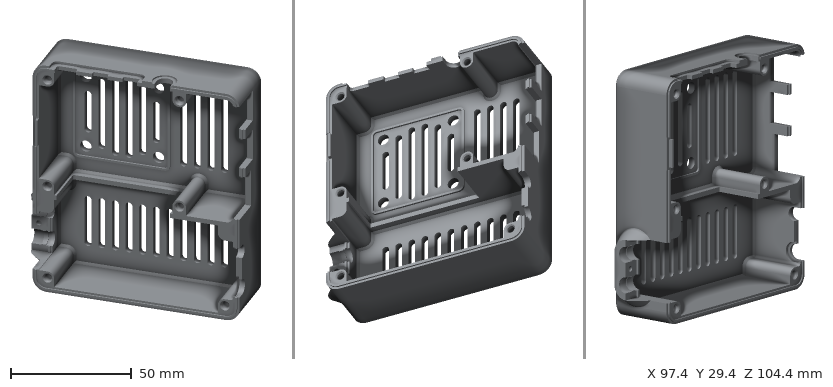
import cadquery as cq
import math


box_x = 91.0
box_z = 104.4
corner_r = 6.0
back_chamfer = 1.0
wall = 2.8
floor = 3.0
floor_chamfer = 1.0
tab_depth = 29.43
rim_depth = 27.7
ridge_height = 0.65
ridge_offset = 1.0
ridge_width = 0.9
clearance = 5.0

divider_z0 = 43.1
divider_z1 = 45.15
upper_corner_r = 3.0
gap_x0 = 10.5
gap_x1 = 60.4
gap_depth = floor + 4.0

post_r = 3.0
post_inset = 6.5
post_right_x = box_x - post_inset
post_top_z = box_z - post_inset
post_mid_x = 64.5
post_mid_z = 48.8
block_low_z = 39.6
post_wall_fillet = 1.2
pilot_d = 3.2
pilot_depth = 12.0
countersink_d = 4.3

slot_width = 3.0
slot_pitch = 6.0
slot_x0 = 15.6
slot_count = 11
lower_slot_z = 22.8
lower_slot_length = 23.0
fan_x = slot_x0 + 2.5 * slot_pitch
fan_z = 73.3
fan_hole_pitch = 32.0
fan_hole_d = 5.0
fan_rim_inner = 40.6
fan_rim_width = 1.0
fan_rim_height = 0.8
fan_rim_inner_r = 1.5
tall_slot = 36.6
medium_slot = 32.2
short_slot = 19.0
upper_slot_lengths = {
    0: short_slot,
    1: medium_slot,
    2: tall_slot,
    3: tall_slot,
    4: medium_slot,
    5: short_slot,
    7: tall_slot,
    8: tall_slot,
    9: tall_slot,
    10: tall_slot,
}

collar_reach = 6.4
collar_depth = 11.2
collar_base_r = 10.0
collar_tip_r = 6.15
collar_span = 13.5
cable_mid_z = 22.65
cable_pitch = 13.0
parting_depth = 11.0
cable_r = 3.4
grip_r = 3.1
grip_width = 2.0
clamp_x = -collar_reach / 2
clamp_hole_d = 2.3
clamp_head_d = 4.3
clamp_head_depth = 5.0

port_recess = 1.1
port_panel_x0 = 7.35
port_panel_x1 = 48.1
port_panel_depth = 22.2
port_panel_r = 2.5
port_x0 = 9.75
port_x1 = 46.0
port_depth = 24.6
first_port_depth = 24.2
first_port_bevel = 0.7
web_depth = 26.3
web_spans = ((18.6, 25.7), (32.4, 39.1))
jack_x = 57.0
jack_depth = 24.6
jack_r = 3.5
jack_recess_r = 5.2
jack_recess = 0.6
plain_rim_x1 = 61.1

usb_depth = 11.3
ethernet_depth = 13.4
connector_bevel = 0.45
prong_depth = 20.65
usb_spans = ((85.5, 99.3), (67.7, 81.2))
ethernet_span = (47.2, 63.6)
prong_spans = (
    (usb_spans[1][1], usb_spans[0][0]),
    (ethernet_span[1], usb_spans[1][0]),
)
socket_depth = 24.4
upper_socket_z = 31.0
upper_socket_r = 3.0
lower_socket_z = 14.7
lower_socket_r = 3.4
lower_socket_inner_r = 4.5
lower_socket_lip = 1.45

tab_z0 = 67.5
tab_z1 = 79.4
tab_relief_margin = 1.05
tab_relief_chamfer = 0.4
tab_x0 = ridge_offset + 0.7


def block(x0, x1, depth0, depth1, z0, z1):
    """Box given by its limits in X, depth and Z."""
    return cq.Workplane("XY").box(
        x1 - x0, depth1 - depth0, z1 - z0, centered=False
    ).translate((x0, -depth1, z0))


def facing(depth):
    """Sketch plane parallel to the back; extrusions run towards the rim."""
    return cq.Workplane("XZ", origin=(0, -depth, 0))


def rod_x(x0, x1, depth, z, radius):
    """Cylinder along X."""
    return cq.Workplane("YZ", origin=(x0, -depth, z)).circle(radius).extrude(x1 - x0)


def rod_y(x, z, depth0, depth1, diameter):
    """Cylinder along Y."""
    return facing(depth0).center(x, z).circle(diameter / 2).extrude(depth1 - depth0)


def rounded_slab(inset, depth0, depth1):
    """Slab with the box outline moved inwards by inset."""
    return (
        facing(depth0)
        .center(box_x / 2, box_z / 2)
        .rect(box_x - 2 * inset, box_z - 2 * inset)
        .extrude(depth1 - depth0)
        .edges("|Y")
        .fillet(corner_r - inset)
    )


def column(x, z, x_far, z_far):
    """Round column filled out to the side x_far and to the side z_far."""
    side_x = x + math.copysign(post_r, x - x_far)
    side_z = z + math.copysign(post_r, z - z_far)
    xs = sorted((x_far, side_x))
    zs = sorted((z_far, z))
    xs_in = sorted((x_far, x))
    zs_in = sorted((z_far, side_z))
    return (
        rod_y(x, z, 0, rim_depth, 2 * post_r)
        .union(block(*xs, 0, rim_depth, *zs))
        .union(block(*xs_in, 0, rim_depth, *zs_in))
    )


def wall_column(x, z, z_far):
    """Round column joined straight to the side z_far."""
    zs = sorted((z, z_far))
    return rod_y(x, z, 0, rim_depth, 2 * post_r).union(
        block(x - post_r, x + post_r, 0, rim_depth, *zs)
    )


def chamfer_floor(cavity):
    return cavity.faces(">Y").edges().chamfer(floor_chamfer)


def upper_cavity():
    cavity = block(wall, box_x - wall, floor, rim_depth, divider_z1, box_z - wall)
    cavity = cavity.edges("|Y and >X").fillet(upper_corner_r)
    cavity = cavity.cut(column(post_inset, post_top_z, 0, box_z))
    cavity = cavity.cut(column(post_inset, post_mid_z, 0, divider_z0))
    cavity = cavity.cut(wall_column(post_mid_x, post_top_z, box_z))
    cavity = cavity.cut(wall_column(post_mid_x, post_mid_z, divider_z0))
    return chamfer_floor(cavity)


def lower_cavity():
    cavity = block(wall, box_x - wall, floor, rim_depth, wall, divider_z0)
    for x, x_far in ((post_inset, 0), (post_right_x, box_x)):
        cavity = cavity.cut(column(x, block_low_z, x_far, divider_z1))
        cavity = cavity.cut(column(x, post_inset, x_far, 0))
    post_wall_corner = cq.selectors.NearestToPointSelector(
        (box_x - wall, -(floor + rim_depth) / 2, post_inset + post_r)
    )
    cavity = cavity.edges(post_wall_corner).fillet(post_wall_fillet)
    return chamfer_floor(cavity)


def shell():
    body = rounded_slab(0, 0, rim_depth).faces(">Y").edges().chamfer(back_chamfer)
    body = body.union(collar())
    body = body.cut(upper_cavity()).cut(lower_cavity())
    gap = block(gap_x0, gap_x1, gap_depth, rim_depth, divider_z0, divider_z1)
    return body.cut(gap).union(rim_ridge())


def rim_ridge():
    top = rim_depth + ridge_height
    outer = rounded_slab(ridge_offset, rim_depth, top)
    ridge = outer.cut(rounded_slab(ridge_offset + ridge_width, rim_depth, top))
    plain_top = block(port_x0, plain_rim_x1, rim_depth, top, box_z - wall, box_z)
    return ridge.cut(plain_top)


def collar():
    root = (
        cq.Workplane("YZ", origin=(0, -collar_depth, cable_mid_z))
        .slot2D(collar_span + 2 * collar_base_r, 2 * collar_base_r, 90)
    )
    flare = (
        root.workplane(offset=-collar_reach)
        .slot2D(collar_span + 2 * collar_tip_r, 2 * collar_tip_r, 90)
        .loft(ruled=True)
    )
    base = (
        cq.Workplane("YZ", origin=(0, -collar_depth, cable_mid_z))
        .slot2D(collar_span + 2 * collar_base_r, 2 * collar_base_r, 90)
        .extrude(wall)
    )
    return flare.union(base)


def cut_cable_entry(body):
    """Open the collar above its parting face and add the cable channels."""
    half_width = collar_span / 2 + collar_tip_r
    z0 = cable_mid_z - half_width
    z1 = cable_mid_z + half_width
    body = body.cut(block(-collar_reach, wall, parting_depth, tab_depth, z0, z1))
    ridge = block(
        ridge_offset, ridge_offset + ridge_width,
        parting_depth, parting_depth + ridge_height, z0, z1,
    )
    body = body.union(ridge)
    for z in (cable_mid_z - cable_pitch / 2, cable_mid_z + cable_pitch / 2):
        body = body.cut(rod_x(-collar_reach, -grip_width, parting_depth, z, cable_r))
        body = body.cut(rod_x(-grip_width, 0, parting_depth, z, grip_r))
        body = body.cut(rod_x(0, wall, parting_depth, z, cable_r))
    body = body.cut(rod_y(clamp_x, cable_mid_z, 0, parting_depth, clamp_hole_d))
    return body.cut(rod_y(clamp_x, cable_mid_z, 0, clamp_head_depth, clamp_head_d))


def cut_screw_holes(body):
    centres = (
        (post_inset, post_top_z),
        (post_mid_x, post_top_z),
        (post_inset, post_mid_z),
        (post_mid_x, post_mid_z),
        (post_inset, post_inset),
        (post_right_x, post_inset),
    )
    for x, z in centres:
        body = body.cut(rod_y(x, z, rim_depth - pilot_depth, rim_depth, pilot_d))
        countersink = (
            facing(rim_depth)
            .center(x, z)
            .circle(countersink_d / 2)
            .workplane(offset=-(countersink_d - pilot_d) / 2)
            .circle(pilot_d / 2)
            .loft()
        )
        body = body.cut(countersink)
    return body


def vent(index, z, length):
    x = slot_x0 + index * slot_pitch
    return facing(0).center(x, z).slot2D(length, slot_width, 90).extrude(floor)


def cut_vents(body):
    for index in range(slot_count):
        body = body.cut(vent(index, lower_slot_z, lower_slot_length))
    for index, length in upper_slot_lengths.items():
        body = body.cut(vent(index, fan_z, length))
    return body


def add_fan_mount(body):
    def square(size, radius):
        return (
            facing(floor)
            .center(fan_x, fan_z)
            .rect(size, size)
            .extrude(fan_rim_height)
            .edges("|Y")
            .fillet(radius)
        )

    outer = square(fan_rim_inner + 2 * fan_rim_width, fan_rim_inner_r + fan_rim_width)
    body = body.union(outer.cut(square(fan_rim_inner, fan_rim_inner_r)))
    holes = (
        facing(0)
        .center(fan_x, fan_z)
        .rect(fan_hole_pitch, fan_hole_pitch, forConstruction=True)
        .vertices()
        .circle(fan_hole_d / 2)
        .extrude(floor)
    )
    return body.cut(holes)


def cut_top_ports(body):
    z_in = box_z - wall
    z_recess = box_z - port_recess
    panel = block(
        port_panel_x0, port_panel_x1,
        port_panel_depth, tab_depth + clearance, z_recess, box_z,
    )
    panel = panel.edges("|Z and >Y").fillet(port_panel_r)
    first_x1 = web_spans[0][0]
    ports = block(first_x1, port_x1, port_depth, tab_depth, z_in, box_z)
    for x0, x1 in web_spans:
        ports = ports.cut(block(x0, x1, port_depth, web_depth, z_in, box_z))
    first_port = block(port_x0, first_x1, first_port_depth, tab_depth, z_in, box_z)
    first_port = first_port.edges("|Z and >Y").chamfer(first_port_bevel)
    ports = ports.union(first_port)

    def upright_rod(radius, z0):
        return (
            cq.Workplane("XY", origin=(jack_x, -jack_depth, z0))
            .circle(radius)
            .extrude(box_z - z0)
        )

    jack = upright_rod(jack_r, z_in).union(
        block(jack_x - jack_r, jack_x + jack_r, jack_depth, tab_depth, z_in, box_z)
    )
    jack_rim = upright_rod(jack_recess_r, box_z - jack_recess)
    return body.cut(panel).cut(ports).cut(jack).cut(jack_rim)


def connector_opening(depth, z0, z1):
    """Cutter through the right wall, open to the rim, with a bevelled inner sill."""
    x_in = box_x - wall
    return (
        cq.Workplane("XY", origin=(0, 0, z0))
        .moveTo(x_in, -tab_depth)
        .lineTo(box_x, -tab_depth)
        .lineTo(box_x, -depth)
        .lineTo(x_in + connector_bevel, -depth)
        .lineTo(x_in, -depth + connector_bevel)
        .close()
        .extrude(z1 - z0)
    )


def cut_right_openings(body):
    x_in = box_x - wall
    for z0, z1 in usb_spans:
        body = body.cut(connector_opening(usb_depth, z0, z1))
    body = body.cut(connector_opening(ethernet_depth, *ethernet_span))

    ports_z0 = ethernet_span[0]
    ports_z1 = usb_spans[0][1]
    body = body.cut(block(x_in, box_x, prong_depth, tab_depth, ports_z0, ports_z1))
    ridge_x1 = box_x - ridge_offset
    ridge_top = prong_depth + ridge_height
    for z0, z1 in prong_spans:
        ridge = block(ridge_x1 - ridge_width, ridge_x1, prong_depth, ridge_top, z0, z1)
        body = body.union(ridge)

    z0 = lower_socket_z - lower_socket_r
    z1 = upper_socket_z + upper_socket_r
    body = body.cut(block(x_in, box_x, socket_depth, tab_depth, z0, z1))
    body = body.cut(rod_x(x_in, box_x, socket_depth, upper_socket_z, upper_socket_r))
    body = body.cut(rod_x(x_in, box_x, socket_depth, lower_socket_z, lower_socket_r))
    inner_end = box_x - lower_socket_lip
    return body.cut(
        rod_x(x_in, inner_end, socket_depth, lower_socket_z, lower_socket_inner_r)
    )


def add_snap_tab(body):
    z0 = tab_z0 - tab_relief_margin
    z1 = tab_z1 + tab_relief_margin
    body = body.cut(block(0, wall, rim_depth, tab_depth, z0, z1))
    bevel = (
        cq.Workplane("XY", origin=(0, 0, z0))
        .moveTo(0, -rim_depth)
        .lineTo(tab_relief_chamfer, -rim_depth)
        .lineTo(0, -rim_depth + tab_relief_chamfer)
        .close()
        .extrude(z1 - z0)
    )
    return body.cut(bevel).union(block(tab_x0, wall, rim_depth, tab_depth, tab_z0, tab_z1))


result = shell()
result = cut_cable_entry(result)
result = add_fan_mount(result)
result = cut_vents(result)
result = cut_top_ports(result)
result = cut_right_openings(result)
result = cut_screw_holes(result)
result = add_snap_tab(result)